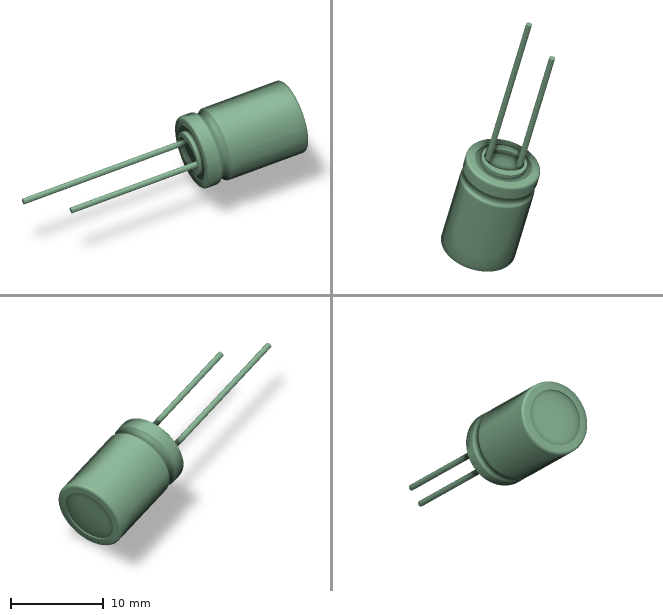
import cadquery as cq
import math


sleeve_diameter = 8.25
sleeve_thickness = 0.2
sleeve_opening_diameter = 6.25
sleeve_front = 0.4
sleeve_back = 12.52
edge_radius = 0.3

groove_center = 2.6
groove_width = 1.5
groove_depth = 0.37
groove_lip_radius = 0.32

stripe_angle = 50.0

bung_diameter = 5.0
bung_depth_in_can = 1.0
recess_length = 4.45
recess_width = 3.4

lead_diameter = 0.65
lead_pitch = 3.5
long_lead_end = -19.0
short_lead_end = -15.0

sleeve_radius = sleeve_diameter / 2
can_front = sleeve_front + sleeve_thickness
bung_back = can_front + bung_depth_in_can
recess_depth = can_front


def cylinder(diameter, start, end, x=0.0):
    """Cylinder parallel to Y between two Y positions."""
    disc = cq.Workplane("XZ", origin=(x, start, 0)).circle(diameter / 2)
    return disc.extrude(start - end)


def grooved_cylinder(inset):
    """Grooved, round-edged cylinder whose skin lies inset below the sleeve surface."""
    radius = sleeve_radius - inset
    front = sleeve_front + inset
    back = sleeve_back - inset
    corner = edge_radius - inset
    corner_mid = corner * (1 - math.sqrt(0.5))

    half_width = groove_width / 2
    arc_radii_sum = (half_width**2 + groove_depth**2) / (2 * groove_depth)
    slope = math.asin(half_width / arc_radii_sum)
    lip = groove_lip_radius - inset
    lip_end_offset = half_width - lip * math.sin(slope)
    lip_mid_offset = half_width - lip * math.sin(slope / 2)
    lip_end_radius = radius - lip * (1 - math.cos(slope))
    lip_mid_radius = radius - lip * (1 - math.cos(slope / 2))
    floor_radius = radius - groove_depth

    profile = (
        cq.Workplane("XY")
        .moveTo(0, front)
        .lineTo(radius - corner, front)
        .threePointArc((radius - corner_mid, front + corner_mid), (radius, front + corner))
        .lineTo(radius, groove_center - half_width)
        .threePointArc(
            (lip_mid_radius, groove_center - lip_mid_offset),
            (lip_end_radius, groove_center - lip_end_offset),
        )
        .threePointArc(
            (floor_radius, groove_center),
            (lip_end_radius, groove_center + lip_end_offset),
        )
        .threePointArc(
            (lip_mid_radius, groove_center + lip_mid_offset),
            (radius, groove_center + half_width),
        )
        .lineTo(radius, back - corner)
        .threePointArc((radius - corner_mid, back - corner_mid), (radius - corner, back))
        .lineTo(0, back)
        .close()
    )
    return profile.revolve(360, (0, 0, 0), (0, 1, 0))


def make_full_sleeve():
    """Thin skin over the can, open in the middle of both ends."""
    skin = grooved_cylinder(0).cut(grooved_cylinder(sleeve_thickness))
    return skin.cut(cylinder(sleeve_opening_diameter, sleeve_front, sleeve_back))


def make_stripe_sector():
    """Wedge centred on +X that spans the stripe angle and the sleeve length."""
    reach = sleeve_diameter
    half_side = reach * math.tan(math.radians(stripe_angle / 2))
    triangle = cq.Workplane("XZ", origin=(0, sleeve_front, 0)).polyline(
        [(0, 0), (reach, -half_side), (reach, half_side)]
    )
    return triangle.close().extrude(sleeve_front - sleeve_back)


def make_can():
    """Solid can with a pocket for the bung."""
    return grooved_cylinder(sleeve_thickness).cut(cylinder(bung_diameter, can_front, bung_back))


def make_bung():
    """Round plug with an oval recess in its outer face."""
    plug = cylinder(bung_diameter, 0, bung_back)
    recess = cq.Workplane("XZ").ellipse(recess_length / 2, recess_width / 2).extrude(-recess_depth)
    return plug.cut(recess)


full_sleeve = make_full_sleeve()
stripe_sector = make_stripe_sector()
sleeve = full_sleeve.cut(stripe_sector)
stripe = full_sleeve.intersect(stripe_sector)
can = make_can()
bung = make_bung()

lead_places = [(-lead_pitch / 2, long_lead_end), (lead_pitch / 2, short_lead_end)]
leads = [cylinder(lead_diameter, end, recess_depth, x) for x, end in lead_places]

result = cq.Compound.makeCompound(
    [sleeve.val(), stripe.val(), can.val(), bung.val(), *[lead.val() for lead in leads]]
)